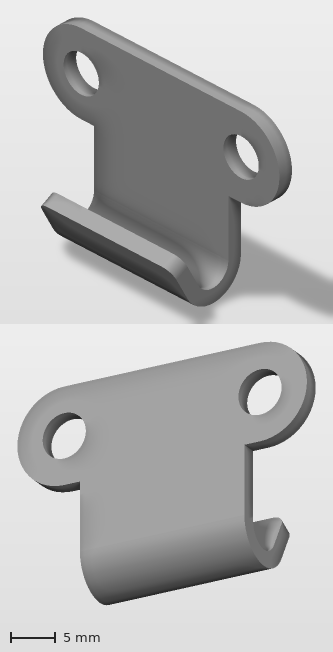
import cadquery as cq
import math

overall_width = 37.0
overall_height = 25.0
overall_depth = 11.0
thickness = 2.0
end_radius = 6.0
hole_diameter = 5.5
hole_spacing = overall_width - 2 * end_radius

hook_width = 21.0
bend_inner_radius = 2.5
bend_outer_radius = bend_inner_radius + thickness
lip_angle = math.radians(28.2)
lip_corner_radius = 1.5

hole_z = -end_radius
bend_y = -bend_outer_radius
bend_z = bend_outer_radius - overall_height

lip_reach = overall_depth - bend_outer_radius * (1 + math.cos(lip_angle))
lip_length = lip_reach / math.sin(lip_angle)


def bend_point(radius, along_lip=0.0):
    """Point where the bend meets the lip, moved along the lip toward its tip."""
    y = bend_y - radius * math.cos(lip_angle) - along_lip * math.sin(lip_angle)
    z = bend_z - radius * math.sin(lip_angle) + along_lip * math.cos(lip_angle)
    return (y, z)


def make_plate():
    return (
        cq.Workplane("XZ")
        .center(0, hole_z)
        .slot2D(overall_width, 2 * end_radius)
        .extrude(thickness)
    )


def make_hook():
    bend_bottom = (bend_y, bend_z - bend_outer_radius)
    bend_inner_bottom = (bend_y, bend_z - bend_inner_radius)
    hook = (
        cq.Workplane("YZ")
        .moveTo(0, hole_z)
        .lineTo(0, bend_z)
        .threePointArc(bend_bottom, bend_point(bend_outer_radius))
        .lineTo(*bend_point(bend_outer_radius, lip_length))
        .lineTo(*bend_point(bend_inner_radius, lip_length))
        .lineTo(*bend_point(bend_inner_radius))
        .threePointArc(bend_inner_bottom, (-thickness, bend_z))
        .lineTo(-thickness, hole_z)
        .close()
        .extrude(hook_width / 2, both=True)
    )
    across_lip = cq.Vector(0, math.cos(lip_angle), math.sin(lip_angle))
    corner_edges = [
        edge
        for edge in hook.edges(cq.selectors.ParallelDirSelector(across_lip)).vals()
        if edge.Center().y < bend_point(bend_inner_radius)[0]
    ]
    return hook.newObject(corner_edges).fillet(lip_corner_radius)


def cut_screw_holes(body):
    holes = (
        cq.Workplane("XZ")
        .pushPoints([(side * hole_spacing / 2, hole_z) for side in (-1, 1)])
        .circle(hole_diameter / 2)
        .extrude(thickness)
    )
    return body.cut(holes)


result = cut_screw_holes(make_plate().union(make_hook()))